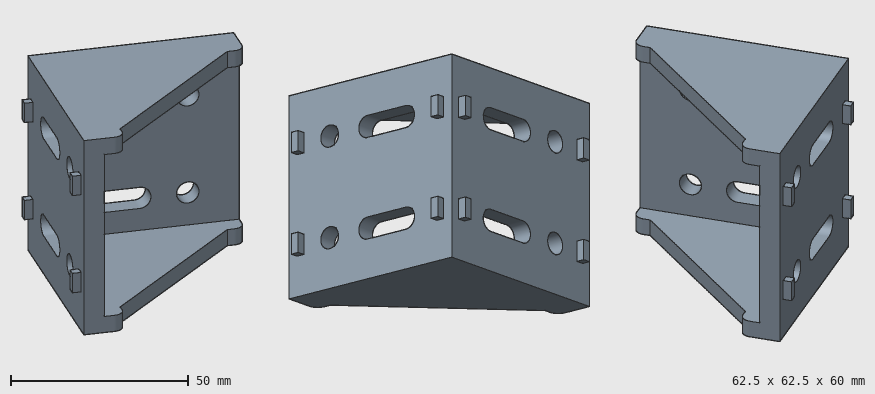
import cadquery as cq

tab_projection = 2.5
leg = 62.5 - tab_projection
height = 60.0

lip_width = 12.0
lip_depth = 5.1
lip_radius = 3.0
side_thickness = 5.0
wall_thickness = 6.0

row_heights = (height / 4, 3 * height / 4)
hole_diameter = 6.5
hole_position = 45.0
slot_length = 20.5
slot_position = 24.0

tab_width = 2.5
tab_height = 6.0
tab_edge_gap = 3.0
tab_positions = (tab_edge_gap + tab_width / 2, leg - tab_edge_gap - tab_width / 2)


def make_body():
    """Triangular block with rounded lips."""
    outline = [
        (0, 0),
        (leg, 0),
        (leg, lip_width),
        (leg - lip_depth, lip_width),
        (lip_width, leg - lip_depth),
        (lip_width, leg),
        (0, leg),
    ]
    block = cq.Workplane("XY").polyline(outline).close().extrude(height)
    lip_corners = [(leg, lip_width), (lip_width, leg)]
    for x, y in lip_corners:
        corner = cq.selectors.NearestToPointSelector((x, y, height / 2))
        block = block.edges(corner).fillet(lip_radius)
    return block


def make_cavity():
    """Space between the side plates, open away from the two walls."""
    return cq.Workplane("XY").box(
        leg, leg, height - 2 * side_thickness, centered=False
    ).translate((wall_thickness, wall_thickness, side_thickness))


def make_wall_openings():
    """Holes and slots through the wall on the XZ plane."""
    holes = [(hole_position, z) for z in row_heights]
    slots = [(slot_position, z) for z in row_heights]
    return (
        cq.Workplane("XZ")
        .pushPoints(holes)
        .circle(hole_diameter / 2)
        .pushPoints(slots)
        .slot2D(slot_length, hole_diameter)
        .extrude(-wall_thickness)
    )


def make_wall_tabs():
    """Tabs standing out from the wall on the XZ plane."""
    centers = [(x, z) for x in tab_positions for z in row_heights]
    return cq.Workplane("XZ").pushPoints(centers).rect(tab_width, tab_height).extrude(tab_projection)


def on_other_wall(shape):
    """Swap X and Y by mirroring in the diagonal plane of the bracket."""
    return shape.mirror("XZ").rotate((0, 0, 0), (0, 0, 1), 90)


openings = make_wall_openings()
tabs = make_wall_tabs()

result = make_body().cut(make_cavity())
result = result.cut(openings).cut(on_other_wall(openings))
result = result.union(tabs).union(on_other_wall(tabs))